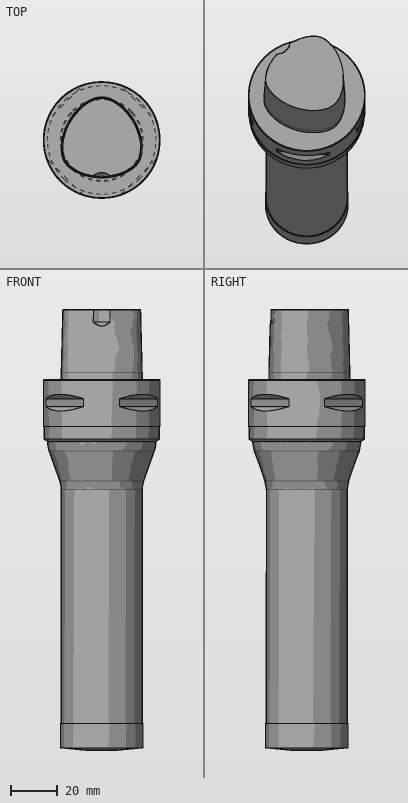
import cadquery as cq
import math

TOTAL_HEIGHT = 189.0
SHOULDER_Z = 159.0
BAND_TOP_Z = 139.0
FLANGE_BOTTOM_Z = 133.5
COLLAR_BOTTOM_Z = 130.2
CONE_BOTTOM_Z = 113.8
CAP_TOP_Z = 11.5

FLANGE_RADIUS = 50.0 / 2
BAND_RADIUS = 49.5 / 2
COLLAR_RADIUS = 46.5 / 2
SHANK_RADIUS = 34.8 / 2
FLANGE_CHAMFER = FLANGE_RADIUS - BAND_RADIUS
UNDERCUT_HEIGHT = 1.0
CONE_BLEND_RADIUS = 11.3
COLLAR_BLEND_RADIUS = 11.3

POLYGON_RADIUS = 17.4
LOBE_HEIGHT = 1.1
NECK_HEIGHT = 3.0
TAPER_PER_SIDE = 1 / 40
TAPER_HEIGHT = TOTAL_HEIGHT - SHOULDER_Z - NECK_HEIGHT
POLYGON_TOP_RADIUS = POLYGON_RADIUS - TAPER_HEIGHT * TAPER_PER_SIDE

KEYWAY_RADIUS = 5.3
KEYWAY_BACK_Y = -14.0
KEYWAY_DEPTH = 5.3

NOTCH_COUNT = 4
NOTCH_FIRST_ANGLE = 45
NOTCH_CENTRE_Z = 149.1
NOTCH_FLOOR_DISTANCE = 22.3
NOTCH_FLOOR_HEIGHT = 3.2
NOTCH_BEVEL = 0.2
NOTCH_MOUTH_HEIGHT = 7.2

CAP_RADIUS = 17.8
CAP_RIM_Z = 1.1
CAP_TIP_RADIUS = 6.2


def polygon_wire(mean_radius, z):
    """Constant-width curve with three lobes, one of them pointing to +Y."""

    def point(t):
        angle = 2 * math.pi * t
        support = mean_radius - LOBE_HEIGHT * math.sin(3 * angle)
        slope = -3 * LOBE_HEIGHT * math.cos(3 * angle)
        x = support * math.cos(angle) - slope * math.sin(angle)
        y = support * math.sin(angle) + slope * math.cos(angle)
        return (x, y, 0)

    curve = cq.Workplane("XY").parametricCurve(point, N=90)
    return curve.val().moved(cq.Location(cq.Vector(0, 0, z)))


def make_coupling():
    """Straight neck, with the tapered polygon above it."""
    neck_top_z = SHOULDER_Z + NECK_HEIGHT
    base = polygon_wire(POLYGON_RADIUS, SHOULDER_Z)
    neck_top = polygon_wire(POLYGON_RADIUS, neck_top_z)
    top = polygon_wire(POLYGON_TOP_RADIUS, TOTAL_HEIGHT)
    neck = cq.Solid.makeLoft([base, neck_top], True)
    taper = cq.Solid.makeLoft([neck_top, top], True)
    return cq.Workplane(neck).union(cq.Workplane(taper))


def ring_at(z):
    """Selector for the circular edges around the Z axis at one level."""
    reach = 2 * FLANGE_RADIUS
    margin = 0.2
    return cq.selectors.BoxSelector(
        (-reach, -reach, z - margin), (reach, reach, z + margin), boundingbox=True
    )


def make_turned_body():
    """Flange, collar, blended cone and shank."""
    outline = [
        (0, CAP_TOP_Z),
        (SHANK_RADIUS, CAP_TOP_Z),
        (SHANK_RADIUS, CONE_BOTTOM_Z),
        (COLLAR_RADIUS, COLLAR_BOTTOM_Z),
        (COLLAR_RADIUS, FLANGE_BOTTOM_Z - UNDERCUT_HEIGHT),
        (BAND_RADIUS, FLANGE_BOTTOM_Z),
        (BAND_RADIUS, BAND_TOP_Z),
        (FLANGE_RADIUS, BAND_TOP_Z),
        (FLANGE_RADIUS, SHOULDER_Z - FLANGE_CHAMFER),
        (FLANGE_RADIUS - FLANGE_CHAMFER, SHOULDER_Z),
        (0, SHOULDER_Z),
    ]
    profile = cq.Workplane("XZ").polyline(outline).close()
    body = profile.revolve(360, (0, 0), (0, 1))
    body = body.edges("%CIRCLE").edges(ring_at(CONE_BOTTOM_Z)).fillet(CONE_BLEND_RADIUS)
    return body.edges("%CIRCLE").edges(ring_at(COLLAR_BOTTOM_Z)).fillet(COLLAR_BLEND_RADIUS)


def make_keyway_cutter():
    """Vertical round cutter with a 45-degree point."""
    floor_z = TOTAL_HEIGHT - KEYWAY_DEPTH
    outline = [
        (0, floor_z - KEYWAY_RADIUS),
        (KEYWAY_RADIUS, floor_z),
        (KEYWAY_RADIUS, TOTAL_HEIGHT),
        (0, TOTAL_HEIGHT),
    ]
    cutter = cq.Workplane("XZ").polyline(outline).close().revolve(360, (0, 0), (0, 1))
    return cutter.translate((0, KEYWAY_BACK_Y - KEYWAY_RADIUS, 0))


def make_notch_cutter(angle):
    """Straight groove, bevelled then flared, with its flat floor facing outward at the angle."""
    floor_half = NOTCH_FLOOR_HEIGHT / 2
    bevel_distance = NOTCH_FLOOR_DISTANCE + NOTCH_BEVEL
    bevel_half = floor_half + NOTCH_BEVEL
    mouth_half = NOTCH_MOUTH_HEIGHT / 2
    outline = [
        (NOTCH_FLOOR_DISTANCE, NOTCH_CENTRE_Z - floor_half),
        (bevel_distance, NOTCH_CENTRE_Z - bevel_half),
        (FLANGE_RADIUS, NOTCH_CENTRE_Z - mouth_half),
        (FLANGE_RADIUS, NOTCH_CENTRE_Z + mouth_half),
        (bevel_distance, NOTCH_CENTRE_Z + bevel_half),
        (NOTCH_FLOOR_DISTANCE, NOTCH_CENTRE_Z + floor_half),
    ]
    cutter = cq.Workplane("XZ").polyline(outline).close().extrude(FLANGE_RADIUS, both=True)
    return cutter.rotate((0, 0, 0), (0, 0, 1), angle)


def make_holder():
    holder = make_turned_body().union(make_coupling())
    holder = holder.cut(make_keyway_cutter())
    for index in range(NOTCH_COUNT):
        holder = holder.cut(make_notch_cutter(NOTCH_FIRST_ANGLE + index * 360 / NOTCH_COUNT))
    return holder


def make_end_cap():
    """Short cap, slightly wider than the shank, with a shallow conical end."""
    outline = [
        (0, 0),
        (CAP_TIP_RADIUS, 0),
        (CAP_RADIUS, CAP_RIM_Z),
        (CAP_RADIUS, CAP_TOP_Z),
        (0, CAP_TOP_Z),
    ]
    return cq.Workplane("XZ").polyline(outline).close().revolve(360, (0, 0), (0, 1))


holder = make_holder()
end_cap = make_end_cap()
result = cq.Compound.makeCompound([holder.val(), end_cap.val()])